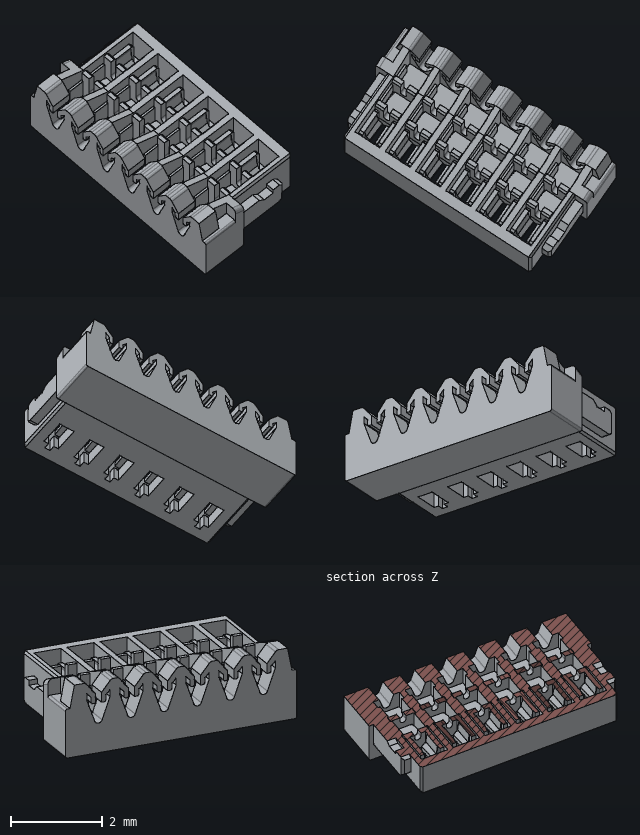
import cadquery as cq
import math


overall_width = 5.6

contact_count = 6
pitch = overall_width / (contact_count + 1)
contact_centres = [(index - (contact_count - 1) / 2) * pitch for index in range(contact_count)]

overall_height = 1.7
comb_depth = 0.5
recess_depth = 0.9
block_depth = 1.15
bottom_edge_radius = 0.05
shelf_height = 1.165
comb_top_width = 5.165
comb_foot_width = 5.375
ridge_width = 5.005
flange_radius = 0.105

shell_width = 4.96
shell_back = 2.9
shell_bottom = 0.25
shell_top = 1.45
shell_chamfer = 0.05

arm_reach = 0.21
arm_bottom = 0.45
arm_top = 1.06
arm_notch_floor = 0.94
arm_tip = 2.45
arm_tip_corner = 2.325
arm_tip_slant = 0.1
arm_notch_back = 2.135
arm_notch_front = 1.865
arm_ramp_end = 1.715
arm_chamfer = 0.055

tooth_flat = 0.08
tooth_radius = 0.1
tooth_slope = math.radians(50)
wire_gap = 0.15
hook_bottom = 1.19
hook_outer = 0.18
hook_corner = 0.03
hook_neck = 1.345
cavity_half_width = 0.28
cavity_top = 1.445
cavity_bottom = 0.705
cavity_radius = 0.095
cavity_taper = math.radians(20.2)

pocket_width = 0.65
pocket_back = 2.655
sheet = 0.105
pocket_floor = cavity_bottom - sheet
ledge_start = 0.7
ledge_top = 1.135
ledge_gap = 0.545
pin_slot_width = 0.14
pin_hole_width = 0.38
pin_hole_back = 2.51

base_end_width = 0.45
base_middle_width = 0.51
blade_width = 0.605
blade_thickness = 0.15
blade_chamfer = 0.05
front_blade_start = 1.09
rear_blade_start = 1.75
blade_top = 1.43
slot_bottom = 0.855
arm_wall_width = 0.595
arm_wall_end = 2.555
arm_wall_top = 1.175
arm_wall_chamfer = 0.055
arm_wall_notch = 0.045
spring_start = 1.995
spring_end = 2.465
spring_root = 1.12
spring_knee_x = 0.15
spring_knee_z = 0.805
spring_edge_z = 0.705
spring_gap_front = 0.09
spring_gap_back = 0.13

front_blade_end = front_blade_start + blade_thickness
rear_blade_end = rear_blade_start + blade_thickness


def block(width, y_start, y_end, z_start, z_end):
    """Box centred on X = 0."""
    return (
        cq.Workplane("XY")
        .box(width, y_end - y_start, z_end - z_start, centered=(True, False, False))
        .translate((0, y_start, z_start))
    )


def across_x(outline, width):
    """Prism of a (Y, Z) outline, centred on X = 0."""
    return cq.Workplane("YZ").polyline(outline).close().extrude(width / 2, both=True)


def along_y(wire, y_start, y_end):
    """Prism of a closed (X, Z) wire between two Y positions."""
    return wire.extrude(y_start - y_end).translate((0, y_start, 0))


def both_ends(body):
    return body.union(body.mirror("YZ"))



def slope_height(y):
    """Height of the roof that falls from the comb to the shell."""
    fall = (overall_height - shell_top) / (block_depth - comb_depth)
    return overall_height - fall * (y - comb_depth)


def wire_block():
    shelf = block(overall_width, 0, recess_depth, 0, shelf_height).edges("|Y").fillet(bottom_edge_radius)

    comb_wire = cq.Workplane("XZ").polyline([
        (-comb_foot_width / 2, shelf_height),
        (comb_foot_width / 2, shelf_height),
        (comb_top_width / 2, overall_height),
        (-comb_top_width / 2, overall_height),
    ]).close()
    comb = along_y(comb_wire, 0, comb_depth)

    ridge = across_x([
        (comb_depth, shelf_height),
        (recess_depth, shelf_height),
        (recess_depth, slope_height(recess_depth)),
        (comb_depth, overall_height),
    ], ridge_width)

    flange = across_x([
        (recess_depth, 0),
        (block_depth, 0),
        (block_depth, shell_top),
        (recess_depth, slope_height(recess_depth)),
    ], overall_width)
    flange = flange.edges("not (|X or |Y or |Z)").fillet(flange_radius)
    flange = flange.edges("<Z and |Y").fillet(bottom_edge_radius)
    return shelf.union(comb).union(ridge).union(flange)


def mating_shell():
    shell = block(shell_width, block_depth, shell_back, shell_bottom, shell_top)
    return shell.edges("|Y or (|Z and >Y)").chamfer(shell_chamfer)


def latch_arms():
    outline = [
        (block_depth, arm_bottom),
        (arm_tip_corner, arm_bottom),
        (arm_tip, arm_bottom + arm_tip_slant),
        (arm_tip, arm_top - arm_tip_slant),
        (arm_tip_corner, arm_top),
        (arm_notch_back, arm_top),
        (arm_notch_back, arm_notch_floor),
        (arm_notch_front, arm_notch_floor),
        (arm_ramp_end, arm_top),
        (block_depth, arm_top),
    ]
    arm = cq.Workplane("YZ").polyline(outline).close().extrude(arm_reach)
    arm = arm.faces(">Y").edges(">X").chamfer(arm_chamfer)
    return both_ends(arm.translate((shell_width / 2, 0, 0)))


def wire_opening():
    """Valley between two teeth, with the cavity behind their hooks."""
    flat_edge = (pitch - tooth_flat) / 2
    slope_x = flat_edge - tooth_radius * math.sin(tooth_slope)
    slope_z = overall_height - tooth_radius * (1 - math.cos(tooth_slope))
    arc_x = flat_edge - tooth_radius * math.sin(tooth_slope / 2)
    arc_z = overall_height - tooth_radius * (1 - math.cos(tooth_slope / 2))
    hook_tip_x = wire_gap / 2
    hook_tip_z = slope_z - (slope_x - hook_tip_x) * math.tan(tooth_slope)
    round_x = cavity_radius * math.cos(cavity_taper)
    round_z = cavity_bottom + cavity_radius * (1 - math.sin(cavity_taper))
    shoulder_z = round_z + (cavity_half_width - round_x) / math.tan(cavity_taper)
    flank = [
        (hook_tip_x, hook_tip_z),
        (hook_tip_x, hook_bottom),
        (hook_outer - hook_corner, hook_bottom),
        (hook_outer, hook_bottom + hook_corner),
        (hook_outer, hook_neck),
        (cavity_half_width, cavity_top),
        (cavity_half_width, shoulder_z),
        (round_x, round_z),
    ]
    wire = cq.Workplane("XZ").moveTo(-flat_edge, overall_height).lineTo(flat_edge, overall_height)
    wire = wire.threePointArc((arc_x, arc_z), (slope_x, slope_z))
    for x, z in flank:
        wire = wire.lineTo(x, z)
    wire = wire.threePointArc((0, cavity_bottom), (-round_x, round_z))
    for x, z in reversed(flank[:-1]):
        wire = wire.lineTo(-x, z)
    wire = wire.lineTo(-slope_x, slope_z).threePointArc((-arc_x, arc_z), (-flat_edge, overall_height)).close()
    return along_y(wire, 0, block_depth)


def contact_pocket():
    """Open pocket for one contact, with the pin entry through its floor."""
    pocket = block(pocket_width, comb_depth, pocket_back, pocket_floor, overall_height)
    pin_slot = block(pin_slot_width, pin_hole_back, pocket_back, shell_bottom, pocket_floor)
    pin_hole = block(pin_hole_width, rear_blade_end, pin_hole_back, shell_bottom, pocket_floor)
    return pocket.union(pin_slot).union(pin_hole)


def pocket_ledges():
    """Low ledges on both side walls of a pocket, notched around the front blade."""
    ledges = block(pocket_width, ledge_start, rear_blade_start, pocket_floor, ledge_top)
    ledges = ledges.cut(block(ledge_gap, ledge_start, rear_blade_start, pocket_floor, ledge_top))
    return ledges.cut(block(blade_width, front_blade_start, front_blade_end, pocket_floor, ledge_top))


def make_housing():
    body = wire_block().union(mating_shell()).union(latch_arms())
    opening = wire_opening()
    pocket = contact_pocket().cut(pocket_ledges())
    for x in contact_centres:
        body = body.cut(opening.translate((x, 0, 0))).cut(pocket.translate((x, 0, 0)))
    return body



def contact_base():
    """Strip joining the two blades, with bulging sides."""
    end_x = base_end_width / 2
    middle_x = base_middle_width / 2
    middle_y = (front_blade_end + rear_blade_start) / 2
    return (
        cq.Workplane("XY", origin=(0, 0, pocket_floor))
        .moveTo(-end_x, front_blade_end)
        .lineTo(end_x, front_blade_end)
        .threePointArc((middle_x, middle_y), (end_x, rear_blade_start))
        .lineTo(-end_x, rear_blade_start)
        .threePointArc((-middle_x, middle_y), (-end_x, front_blade_end))
        .close()
        .extrude(sheet)
    )


def slotted_blade(y_start):
    """Insulation-cutting blade with a round-bottomed slot for the wire."""
    y_end = y_start + blade_thickness
    blade = block(blade_width, y_start, y_end, pocket_floor, blade_top)
    blade = blade.edges(">Y and >Z").chamfer(blade_chamfer)
    radius = wire_gap / 2
    slot_wire = (
        cq.Workplane("XZ")
        .moveTo(-radius, blade_top)
        .lineTo(-radius, slot_bottom + radius)
        .threePointArc((0, slot_bottom), (radius, slot_bottom + radius))
        .lineTo(radius, blade_top)
        .close()
    )
    return blade.cut(along_y(slot_wire, y_start, y_end))


def spring_arms():
    """Side walls behind the rear blade, each with a spring leaf leaning in towards the pin."""
    walls = block(arm_wall_width, rear_blade_end, arm_wall_end, pocket_floor, arm_wall_top)
    walls = walls.edges(">Y and >Z").chamfer(arm_wall_chamfer)
    walls = walls.cut(block(pin_hole_width, rear_blade_end, arm_wall_end, pocket_floor, arm_wall_top))

    notch_end = rear_blade_end + arm_wall_notch
    notch_floor = arm_wall_top - arm_wall_notch
    walls = walls.cut(block(arm_wall_width, rear_blade_end, notch_end, notch_floor, arm_wall_top))

    leaf_wire = cq.Workplane("XZ").polyline([
        (pin_hole_width / 2, pocket_floor),
        (pin_hole_width / 2, spring_root),
        (spring_knee_x, spring_knee_z),
        (spring_gap_front / 2, spring_edge_z),
        (spring_gap_front / 2, pocket_floor),
    ]).close()
    leaves = both_ends(along_y(leaf_wire, spring_start, spring_end))
    gap = (
        cq.Workplane("XY", origin=(0, 0, pocket_floor))
        .polyline([
            (-spring_gap_front / 2, spring_start),
            (spring_gap_front / 2, spring_start),
            (spring_gap_back / 2, spring_end),
            (-spring_gap_back / 2, spring_end),
        ])
        .close()
        .extrude(spring_root - pocket_floor)
    )
    return walls.union(leaves.cut(gap))


def make_contact():
    return (
        contact_base()
        .union(slotted_blade(front_blade_start))
        .union(slotted_blade(rear_blade_start))
        .union(spring_arms())
    )


housing = make_housing()
contact = make_contact()
contacts = [contact.translate((x, 0, 0)).val() for x in contact_centres]

result = cq.Compound.makeCompound([housing.val(), *contacts])